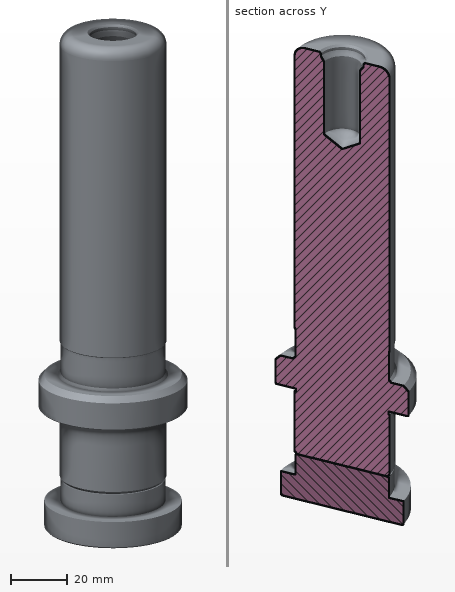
import cadquery as cq

TOTAL_HEIGHT = 185.0
BASE_TOP = 10.0
PIN_BOTTOM = 18.3
FLANGE_BOTTOM = 45.0
FLANGE_TOP = 57.2
NECK_TOP = 69.4

PIN_RADIUS = 38.0 / 2
NECK_RADIUS = 37.2 / 2
FLANGE_RADIUS = 53.0 / 2
BASE_RADIUS = 48.8 / 2

TOP_ROUND = 4.3
FLANGE_TOP_CHAMFER = 2.0
FLANGE_BOTTOM_CHAMFER = 0.4
PIN_BOTTOM_CHAMFER = 1.1
UNDERCUT_HEIGHT = 1.0
UNDERCUT_DEPTH = 0.5
NECK_FLARE = 1.0
BASE_CHAMFER = 0.5

HOLE_RADIUS = 7.0
HOLE_DEPTH = 33.3
HOLE_POINT_DEPTH = 4.0
MOUTH_RADIUS = 9.0
MOUTH_CHAMFER = 0.7
MOUTH_DEPTH = 1.8
MOUTH_TAPER_HEIGHT = 1.8


def make_pin():
    """Flanged guide pin with a rounded top, turned about Z."""
    undercut_radius = PIN_RADIUS - UNDERCUT_DEPTH
    turned = (
        cq.Workplane("XZ")
        .moveTo(0, PIN_BOTTOM)
        .lineTo(PIN_RADIUS - PIN_BOTTOM_CHAMFER, PIN_BOTTOM)
        .lineTo(PIN_RADIUS, PIN_BOTTOM + PIN_BOTTOM_CHAMFER)
        .lineTo(PIN_RADIUS, FLANGE_BOTTOM - UNDERCUT_HEIGHT)
        .lineTo(undercut_radius, FLANGE_BOTTOM - UNDERCUT_HEIGHT)
        .lineTo(undercut_radius, FLANGE_BOTTOM)
        .lineTo(FLANGE_RADIUS - FLANGE_BOTTOM_CHAMFER, FLANGE_BOTTOM)
        .lineTo(FLANGE_RADIUS, FLANGE_BOTTOM + FLANGE_BOTTOM_CHAMFER)
        .lineTo(FLANGE_RADIUS, FLANGE_TOP - FLANGE_TOP_CHAMFER)
        .lineTo(FLANGE_RADIUS - FLANGE_TOP_CHAMFER, FLANGE_TOP)
        .lineTo(NECK_RADIUS + NECK_FLARE, FLANGE_TOP)
        .lineTo(NECK_RADIUS, FLANGE_TOP + NECK_FLARE)
        .lineTo(NECK_RADIUS, NECK_TOP)
        .lineTo(PIN_RADIUS, NECK_TOP + PIN_RADIUS - NECK_RADIUS)
        .lineTo(PIN_RADIUS, TOTAL_HEIGHT - TOP_ROUND)
        .radiusArc((PIN_RADIUS - TOP_ROUND, TOTAL_HEIGHT), -TOP_ROUND)
        .lineTo(0, TOTAL_HEIGHT)
        .close()
        .revolve(360, (0, 0, 0), (0, 1, 0))
    )
    return turned.cut(make_centre_hole())


def make_centre_hole():
    """Drilled hole with a conical bottom and a widened, chamfered mouth."""
    hole_bottom = TOTAL_HEIGHT - HOLE_DEPTH
    mouth_bottom = TOTAL_HEIGHT - MOUTH_DEPTH
    return (
        cq.Workplane("XZ")
        .moveTo(0, hole_bottom - HOLE_POINT_DEPTH)
        .lineTo(HOLE_RADIUS, hole_bottom)
        .lineTo(HOLE_RADIUS, mouth_bottom - MOUTH_TAPER_HEIGHT)
        .lineTo(MOUTH_RADIUS - MOUTH_CHAMFER, mouth_bottom)
        .lineTo(MOUTH_RADIUS - MOUTH_CHAMFER, TOTAL_HEIGHT - MOUTH_CHAMFER)
        .lineTo(MOUTH_RADIUS, TOTAL_HEIGHT)
        .lineTo(0, TOTAL_HEIGHT)
        .close()
        .revolve(360, (0, 0, 0), (0, 1, 0))
    )


def make_base():
    """Base disc with a raised boss that meets the underside of the pin."""
    disc = cq.Workplane("XY").circle(BASE_RADIUS).extrude(BASE_TOP)
    disc = disc.faces("<Z").edges().chamfer(BASE_CHAMFER)
    boss = cq.Workplane("XY").circle(NECK_RADIUS).extrude(PIN_BOTTOM)
    return disc.union(boss)


pin = make_pin()
base = make_base()

result = cq.Compound.makeCompound([pin.val(), base.val()])